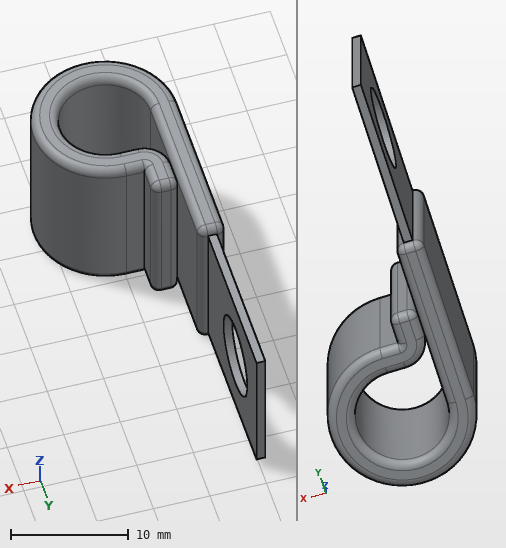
import cadquery as cq

total_length = 35.7
ring_diameter = 12.67
bore_diameter = 8.0
cushion_height = 14.2

edge_radius = 0.75
cushion_length = 21.05
bridge_length = 1.6
lip_length = 2.57

tab_thickness = 0.8
tab_height = 12.78
tab_hole_diameter = 7.15

outer_radius = ring_diameter / 2
bore_radius = bore_diameter / 2
strip_thickness = outer_radius - bore_radius
middle_radius = (outer_radius + bore_radius) / 2
leg_length = cushion_length - outer_radius
tab_end_y = total_length - outer_radius
lip_x = -bridge_length - strip_thickness / 2


def strip_end(center_x, start_y, length):
    """Straight run along +Y with rounded long edges and a rounded free end."""
    return (
        cq.Workplane("XY")
        .box(strip_thickness, length, cushion_height, centered=(True, False, True))
        .edges("|Y or >Y")
        .fillet(edge_radius)
        .translate((center_x, start_y, 0))
    )


def strip_section(plane, offset):
    """Rounded cross section, offset along the plane's local X axis."""
    return (
        cq.Workplane(plane)
        .center(offset, 0)
        .sketch()
        .rect(strip_thickness, cushion_height)
        .vertices()
        .fillet(edge_radius)
        .finalize()
    )


ring = strip_section("XZ", -middle_radius).revolve(
    270, (middle_radius, 0, 0), (middle_radius, 1, 0)
)

bridge = strip_section("YZ", middle_radius).extrude(-bridge_length)

bend = (
    strip_section("XZ", -strip_thickness / 2)
    .revolve(90, (strip_thickness / 2, 0, 0), (strip_thickness / 2, 1, 0))
    .translate((-bridge_length, outer_radius, 0))
)

leg = strip_end(-middle_radius, 0, leg_length)
lip = strip_end(lip_x, outer_radius, lip_length)

tab = (
    cq.Workplane("XY")
    .box(tab_thickness, tab_end_y, tab_height, centered=(True, False, True))
    .translate((-middle_radius, 0, 0))
)

hole_y = tab_end_y - tab_height / 2
tab_hole = (
    cq.Workplane("YZ")
    .center(hole_y, 0)
    .circle(tab_hole_diameter / 2)
    .extrude(tab_thickness, both=True)
    .translate((-middle_radius, 0, 0))
)

result = ring.union(bridge).union(bend).union(lip).union(leg).union(tab).cut(tab_hole)